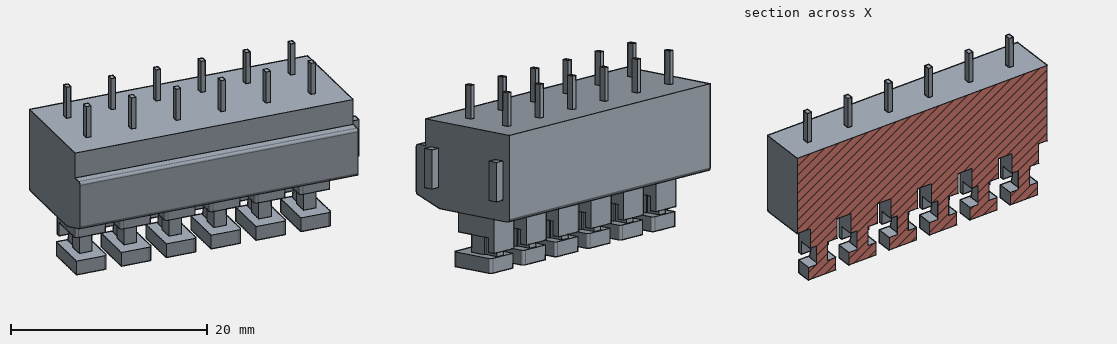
import cadquery as cq

BODY_WIDTH = 12.6
BODY_LENGTH = 31.0
BODY_HEIGHT = 9.1
STEP_WIDTH = 1.25
STEP_DEPTH = 2.8
SLOPE_WIDTH = 3.2
SLOPE_HEIGHT = 1.1
BODY_FILLET = 0.3

POLE_COUNT = 6
POLE_PITCH = 5.0

PIN_SIZE_X = 0.7
PIN_SIZE_Y = 0.5
PIN_HEIGHT = 3.5
PIN_ROW_SPACING = 5.0
PIN_FIRST_X = 3.15
PIN_FIRST_Y = 2.8

TAB_WIDTH = 1.0
TAB_LENGTH = 1.0
TAB_HEIGHT = 4.1
TAB_FIRST_X = 1.38
TAB_SPACING = 8.7
TAB_TOP = BODY_HEIGHT - STEP_DEPTH

GUIDE_BACK_X = 3.0
GUIDE_LENGTH = 4.8
GUIDE_WIDTH = 3.35
GUIDE_CENTER_Y = 3.3
GUIDE_DEPTH = 2.35
GUIDE_FILLET = 0.35
TONGUE_THICKNESS = 0.75
TONGUE_DEPTH = 3.87

BUTTON_BACK_X = 3.55
BUTTON_LENGTH = 5.05
BUTTON_WIDTH = 3.4
BUTTON_HEIGHT = 1.55
BUTTON_BOTTOM = -6.1
BUTTON_TOP = BUTTON_BOTTOM + BUTTON_HEIGHT
BUTTON_CENTER_Y = 3.1
BUTTON_FILLET = 0.3

STEM_BACK_X = 5.3
STEM_FRONT_X = 7.05
STEM_WIDTH = 1.4
RIB_WIDTH = 1.0
RIB_TOP_X = 4.28
RIB_BOTTOM_X = 3.75


def block(x_min, x_size, y_center, y_size, z_min, z_size):
    """Box given by its lower X and Z faces and its middle in Y."""
    box = cq.Workplane("XY").box(x_size, y_size, z_size, centered=(False, True, False))
    return box.translate((x_min, y_center, z_min))


def extrude_profile(points, y_min, y_size):
    """Extrude an XZ outline toward +Y, starting at y_min."""
    return cq.Workplane("XZ", origin=(0, y_min, 0)).polyline(points).close().extrude(-y_size)


def make_body():
    step_x = BODY_WIDTH - STEP_WIDTH
    step_z = BODY_HEIGHT - STEP_DEPTH
    profile = [
        (0, 0),
        (BODY_WIDTH - SLOPE_WIDTH, 0),
        (BODY_WIDTH, SLOPE_HEIGHT),
        (BODY_WIDTH, step_z),
        (step_x, step_z),
        (step_x, BODY_HEIGHT),
        (0, BODY_HEIGHT),
    ]
    body = extrude_profile(profile, 0, BODY_LENGTH)
    body = body.faces(">X").edges("|Y").fillet(BODY_FILLET)
    return body.faces("<X").edges("|Y and <Z").fillet(BODY_FILLET)


def make_tab(index):
    return block(
        TAB_FIRST_X + index * TAB_SPACING - TAB_WIDTH / 2, TAB_WIDTH,
        BODY_LENGTH + TAB_LENGTH / 2, TAB_LENGTH,
        TAB_TOP - TAB_HEIGHT, TAB_HEIGHT,
    )


def make_pin(row):
    x_min = PIN_FIRST_X + row * PIN_ROW_SPACING - PIN_SIZE_X / 2
    return block(x_min, PIN_SIZE_X, PIN_FIRST_Y, PIN_SIZE_Y, BODY_HEIGHT, PIN_HEIGHT)


def make_guide():
    """L-shaped guide, rounded on its two vertical edges toward -Y."""
    front_x = GUIDE_BACK_X + GUIDE_LENGTH
    tongue_x = GUIDE_BACK_X + TONGUE_THICKNESS
    profile = [
        (GUIDE_BACK_X, 0),
        (front_x, 0),
        (front_x, -GUIDE_DEPTH),
        (tongue_x, -GUIDE_DEPTH),
        (tongue_x, -TONGUE_DEPTH),
        (GUIDE_BACK_X, -TONGUE_DEPTH),
    ]
    guide = extrude_profile(profile, GUIDE_CENTER_Y - GUIDE_WIDTH / 2, GUIDE_WIDTH)
    guide = guide.faces("<X").edges("|Z and <Y").fillet(GUIDE_FILLET)
    return guide.faces(">X").edges("|Z and <Y").fillet(GUIDE_FILLET)


def make_button():
    """Button plate, rounded on its two vertical edges toward +Y."""
    button = block(
        BUTTON_BACK_X, BUTTON_LENGTH, BUTTON_CENTER_Y, BUTTON_WIDTH, BUTTON_BOTTOM, BUTTON_HEIGHT
    )
    return button.faces(">Y").edges("|Z").fillet(BUTTON_FILLET)


def make_stem():
    stem = block(
        STEM_BACK_X, STEM_FRONT_X - STEM_BACK_X,
        BUTTON_CENTER_Y, STEM_WIDTH,
        BUTTON_TOP, -GUIDE_DEPTH - BUTTON_TOP,
    )
    rib_profile = [
        (RIB_BOTTOM_X, BUTTON_TOP),
        (STEM_BACK_X, BUTTON_TOP),
        (STEM_BACK_X, -GUIDE_DEPTH),
        (RIB_TOP_X, -GUIDE_DEPTH),
    ]
    rib = extrude_profile(rib_profile, BUTTON_CENTER_Y - RIB_WIDTH / 2, RIB_WIDTH)
    return stem.union(rib)


pole_parts = [make_pin(0), make_pin(1), make_guide().union(make_stem()).union(make_button())]

result = make_body().union(make_tab(0)).union(make_tab(1))
for pole in range(POLE_COUNT):
    for pole_part in pole_parts:
        result = result.union(pole_part.translate((0, pole * POLE_PITCH, 0)))